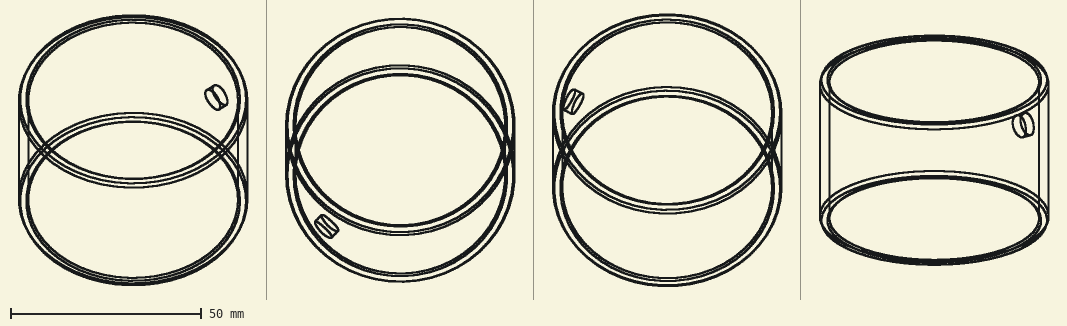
import cadquery as cq

outer_diameter = 60.0
wall = 2.5
height = 40.0
bore_diameter = outer_diameter - 2 * wall

outer_chamfer_length = 1.2
outer_chamfer_depth = 0.4
bore_chamfer = 0.55

oil_hole_diameter = 6.0


def bushing_body():
    """Revolve the chamfered wall section about the Z axis."""
    outer_radius = outer_diameter / 2
    bore_radius = bore_diameter / 2
    section = (
        cq.Workplane("XZ")
        .moveTo(bore_radius, bore_chamfer)
        .lineTo(bore_radius + bore_chamfer, 0)
        .lineTo(outer_radius - outer_chamfer_depth, 0)
        .lineTo(outer_radius, outer_chamfer_length)
        .lineTo(outer_radius, height - outer_chamfer_length)
        .lineTo(outer_radius - outer_chamfer_depth, height)
        .lineTo(bore_radius + bore_chamfer, height)
        .lineTo(bore_radius, height - bore_chamfer)
        .close()
    )
    return section.revolve(360, (0, 0, 0), (0, 1, 0))


def oil_hole():
    """Cylinder from the bushing axis outwards along +Y."""
    return (
        cq.Workplane("XZ")
        .center(0, height / 2)
        .circle(oil_hole_diameter / 2)
        .extrude(-outer_diameter)
    )


result = bushing_body().cut(oil_hole())